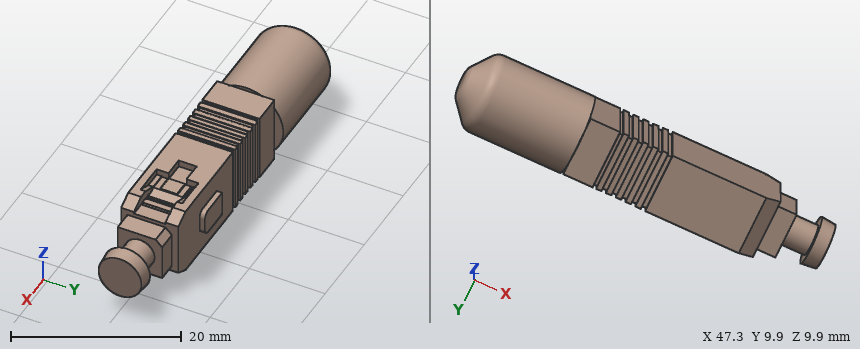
import cadquery as cq
import math

OVERALL_LENGTH = 47.25

CAP_DIAMETER = 9.9
CAP_RADIUS = CAP_DIAMETER / 2
CAP_END = 15.05
NOSE_TIP_RADIUS = 1.85
NOSE_LENGTH = 2.6
NOSE_ROUNDING = 1.5

HOUSING_END = 39.65
HOUSING_HALF_WIDTH = 3.8
HOUSING_HALF_HEIGHT = 4.5
TAPER_LENGTH = 1.85
TAPER_DROP = 0.95
TAPER_START = HOUSING_END - TAPER_LENGTH

GRIP_START = 18.85
GRIP_END = 25.65
GROOVE_COUNT = 6
GROOVE_PITCH = 1.28
GROOVE_WIDTH = 0.55
GROOVE_DEPTH = 0.3
DISH_DEPTH = 0.2

KEY_START = 29.85
KEY_END = 34.2
KEY_ROUNDING = 0.85
KEY_HEIGHT = 0.7
KEY_HALF_WIDTH = 1.65

CHANNEL_LEVEL = 3.3
STEP_LEVEL = 3.35
SHELF_LEVEL = 3.4
WINDOW_LEVEL = 2.75
SLOT_LEVEL = 3.6
POCKET_LEVEL = 3.7
TONGUE_FOOT_LEVEL = 3.03
PAD_LEVEL = 3.8
CHANNEL_HALF_WIDTH = 2.1
UNDERCUT_HALF_WIDTH = 2.25
SHELF_END = 37.5
WINDOW_START = 32.5
WINDOW_END = 36.7
SLOT_START = 29.9
SLOT_HALF_WIDTH = 1.2
POCKET_HALF_WIDTH = 2.75
TONGUE_EDGE = 1.8
TONGUE_TOP_END = 34.7
TONGUE_FOOT = 35.75
PAD_START = 32.6
PAD_EDGE = 1.05

NECK_END = 42.15
NECK_HALF_WIDTH = 2.95
NECK_HALF_HEIGHT = 2.8
NECK_CHAMFER = NECK_HALF_WIDTH - CHANNEL_HALF_WIDTH

STEM_RADIUS = 1.95
HEAD_START = 45.45
HEAD_RADIUS = 3.03
HEAD_END_RADIUS = 2.85


def box(x_range, y_range, z_range):
    """Box between the given limits along X, Y and Z."""
    (x0, x1), (y0, y1), (z0, z1) = x_range, y_range, z_range
    return cq.Workplane("XY").box(x1 - x0, y1 - y0, z1 - z0, centered=False).translate((x0, y0, z0))


def side_prism(points, y_range):
    """Extrude an X-Z outline between two Y positions."""
    y0, y1 = y_range
    return cq.Workplane("XZ", origin=(0, y0, 0)).polyline(points).close().extrude(y0 - y1)


def make_cap():
    """Turned cap: the nose corners are rounded where they meet the cone."""
    cone_angle = math.atan2(CAP_RADIUS - NOSE_TIP_RADIUS, NOSE_LENGTH)
    cos_a = math.cos(cone_angle)
    sin_a = math.sin(cone_angle)
    tip_setback = NOSE_ROUNDING * math.tan((math.pi / 2 - cone_angle) / 2)
    rim_setback = NOSE_ROUNDING * math.tan(cone_angle / 2)
    tip_flat = (0, NOSE_TIP_RADIUS - tip_setback)
    cone_start = (tip_setback * cos_a, NOSE_TIP_RADIUS + tip_setback * sin_a)
    cone_end = (NOSE_LENGTH - rim_setback * cos_a, CAP_RADIUS - rim_setback * sin_a)
    return (
        cq.Workplane("XY")
        .lineTo(*tip_flat)
        .tangentArcPoint(cone_start, relative=False)
        .lineTo(*cone_end)
        .tangentArcPoint((NOSE_LENGTH + rim_setback, CAP_RADIUS), relative=False)
        .lineTo(CAP_END, CAP_RADIUS)
        .lineTo(CAP_END, 0)
        .close()
        .revolve(360, (0, 0, 0), (1, 0, 0))
    )


def make_sleeve():
    """Plain sleeve: dished over the grip, tapered above and below at its far end."""
    top = HOUSING_HALF_HEIGHT
    grip_middle = (GRIP_START + GRIP_END) / 2
    return (
        cq.Workplane("XZ", origin=(0, HOUSING_HALF_WIDTH, 0))
        .moveTo(CAP_END, top)
        .lineTo(GRIP_START, top)
        .threePointArc((grip_middle, top - DISH_DEPTH), (GRIP_END, top))
        .lineTo(TAPER_START, top)
        .lineTo(HOUSING_END, top - TAPER_DROP)
        .lineTo(HOUSING_END, TAPER_DROP - top)
        .lineTo(TAPER_START, -top)
        .lineTo(GRIP_END, -top)
        .threePointArc((grip_middle, DISH_DEPTH - top), (GRIP_START, -top))
        .lineTo(CAP_END, -top)
        .close()
        .extrude(2 * HOUSING_HALF_WIDTH)
    )


def make_groove(end):
    """Rectangular ring that cuts one grip groove; the first stops at the grip's start."""
    start = max(end - GROOVE_WIDTH, GRIP_START)
    ring = (
        cq.Workplane("YZ", origin=(start, 0, 0))
        .rect(2 * HOUSING_HALF_WIDTH, 2 * HOUSING_HALF_HEIGHT)
        .rect(2 * (HOUSING_HALF_WIDTH - GROOVE_DEPTH), 2 * (HOUSING_HALF_HEIGHT - GROOVE_DEPTH))
    )
    return ring.extrude(end - start)


def make_key():
    """Rail on the +Y side with both corners of its +X end rounded."""
    key = box(
        (KEY_START, KEY_END),
        (HOUSING_HALF_WIDTH, HOUSING_HALF_WIDTH + KEY_HEIGHT),
        (-KEY_HALF_WIDTH, KEY_HALF_WIDTH),
    )
    return key.edges("|Y and >X").fillet(KEY_ROUNDING)


def cut_latch_window(housing):
    """Cut the stepped channel, slot, ramped pockets and undercut window; add the tongue and pad."""
    top = HOUSING_HALF_HEIGHT
    channel_y = (-CHANNEL_HALF_WIDTH, CHANNEL_HALF_WIDTH)
    slot_y = (-SLOT_HALF_WIDTH, SLOT_HALF_WIDTH)

    channel = box((TAPER_START, HOUSING_END), channel_y, (CHANNEL_LEVEL, top))
    step = box((SHELF_END, TAPER_START), channel_y, (STEP_LEVEL, top))
    shelf = box((WINDOW_END, SHELF_END), channel_y, (SHELF_LEVEL, top))
    window = box((WINDOW_START, WINDOW_END), channel_y, (WINDOW_LEVEL, top))
    undercut_y = (-UNDERCUT_HALF_WIDTH, UNDERCUT_HALF_WIDTH)
    undercut = box((WINDOW_START, WINDOW_END), undercut_y, (WINDOW_LEVEL, CHANNEL_LEVEL))
    slot = box((SLOT_START, WINDOW_START), slot_y, (SLOT_LEVEL, top))
    pocket_outline = [
        (WINDOW_START, top),
        (WINDOW_START, POCKET_LEVEL),
        (TONGUE_TOP_END, POCKET_LEVEL),
        (WINDOW_END, top),
    ]
    pockets = side_prism(pocket_outline, (-POCKET_HALF_WIDTH, POCKET_HALF_WIDTH))

    tongue_outline = [
        (WINDOW_START, WINDOW_LEVEL),
        (WINDOW_START, SLOT_LEVEL),
        (TONGUE_TOP_END, SLOT_LEVEL),
        (TONGUE_FOOT, TONGUE_FOOT_LEVEL),
        (TONGUE_FOOT, WINDOW_LEVEL),
    ]
    tongue = side_prism(tongue_outline, (-UNDERCUT_HALF_WIDTH, TONGUE_EDGE))
    pad = box((PAD_START, TONGUE_TOP_END), (-SLOT_HALF_WIDTH, PAD_EDGE), (SLOT_LEVEL, PAD_LEVEL))

    for opening in (channel, step, shelf, window, undercut, slot, pockets):
        housing = housing.cut(opening)
    return housing.union(tongue).union(pad)


def make_housing():
    housing = make_sleeve()
    for index in range(GROOVE_COUNT):
        housing = housing.cut(make_groove(GRIP_END - index * GROOVE_PITCH))
    housing = housing.union(make_key())
    return cut_latch_window(housing)


def make_neck():
    """Block with one chamfered edge at the top of its +Y side."""
    block = box(
        (HOUSING_END, NECK_END),
        (-NECK_HALF_WIDTH, NECK_HALF_WIDTH),
        (-NECK_HALF_HEIGHT, NECK_HALF_HEIGHT),
    )
    return block.edges(">Y and >Z").chamfer(NECK_CHAMFER)


def make_plug():
    """Turned stem with a larger, slightly conical head."""
    outline = [
        (NECK_END, 0),
        (NECK_END, STEM_RADIUS),
        (HEAD_START, STEM_RADIUS),
        (HEAD_START, HEAD_RADIUS),
        (OVERALL_LENGTH, HEAD_END_RADIUS),
        (OVERALL_LENGTH, 0),
    ]
    return cq.Workplane("XY").polyline(outline).close().revolve(360, (0, 0, 0), (1, 0, 0))


cap = make_cap()
housing = make_housing()
neck = make_neck()
plug = make_plug()

result = cq.Compound.makeCompound([cap.val(), housing.val(), neck.val(), plug.val()])